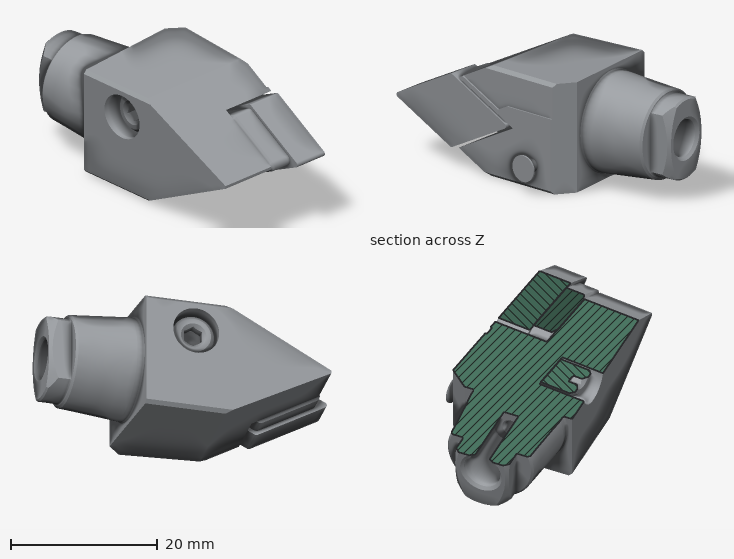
import cadquery as cq
import math

TILT = 6.0
TILT_SIN = math.sin(math.radians(TILT))
TILT_COS = math.cos(math.radians(TILT))
TILT_TAN = math.tan(math.radians(TILT))
FACE_AXIS_Y = 11.18
FACE_DIRECTION = (TILT_COS, -TILT_SIN, 0)
INWARD = (-TILT_SIN, -TILT_COS, 0)
CUT_MARGIN = 1.0

HEAD_HALF = 8.0
HEAD_REACH = 30.0
BEVEL_X = 2.45
BEVEL_Y = 2.82
EDGE_CHAMFER = 0.5
STEP_DEPTH = 0.25
STEP_BEND = 10.3
STEP_CORNER = 11.9
STEP_Z = 2.95

POINT_HALF_ANGLE = 27.5
POINT_START = 13.4
POINT_END = 28.36
POINT_BACK = -10.0
PRISM_LENGTH = 30.0

COLLAR_R = 7.13
COLLAR_LENGTH = 1.0
TAPER_SMALL_R = 6.42
TAPER_START = -9.2
SHANK_FACE = -9.5
SHANK_FACE_R = 6.13
STUD_R = 5.86
STUD_END = -12.5
STUD_FLATS = 8.0
STUD_CHAMFER = 0.25
ROOT_FILLET = 0.2

RELIEF_R = 10.44
RELIEF_OFFSET = 6.8
RELIEF_LENGTH = 5.0

BORE_R = 2.69
BORE_MOUTH_R = 3.1
BORE_DEPTH = 10.0
PILOT_R = 1.05
PILOT_MOUTH_R = 1.3
PILOT_DEPTH = 2.0

INSERT_CENTRE = 20.33
INSERT_CIRCLE_R = 4.7625
INSERT_NOSE_R = 0.4
INSERT_THICKNESS = 4.95
SHIM_CIRCLE_R = 4.25
SHIM_NOSE_R = 0.8
SHIM_THICKNESS = 3.18
SHIM_CHAMFER = 0.4
POCKET_CLEARANCE = 0.38

SOCKET_SCREW_X = 7.14
SOCKET_SCREW_Z = 3.55
SOCKET_HOLE_R = 3.27
SOCKET_SCREW_R = 2.95
SOCKET_SCREW_CHAMFER = 0.53
SOCKET_SCREW_SINK = 1.7
SOCKET_SCREW_LENGTH = 5.0
HEX_SIDES = 6
HEX_FLATS = 2.5
HEX_MOUTH_R = 1.77
HEX_DEPTH = 1.8
HEX_CONE_DEPTH = 0.7

CSK_ALONG = 5.75
CSK_Z = -4.48
CSK_HEAD_R = 1.9
CSK_RIM = 0.25
CSK_SHANK_R = 0.96
CSK_HEAD_LIFT = 0.72
CSK_HOLE_DEPTH = 3.0


def tilted_plane(depth):
    """Plane parallel to the +Y face at a depth into the head, normal pointing inward."""
    origin = (INWARD[0] * depth, FACE_AXIS_Y + INWARD[1] * depth, 0)
    return cq.Plane(origin=origin, xDir=FACE_DIRECTION, normal=INWARD)


def turned(plane, along, across, profile):
    """Solid of revolution about the plane normal, from (radius, depth) points."""
    axis_plane = cq.Plane(
        origin=plane.toWorldCoords((along, across, 0)).toTuple(),
        xDir=plane.xDir,
        normal=-plane.yDir,
    )
    return cq.Workplane(axis_plane).polyline(profile).close().revolve(360, (0, 0, 0), (0, 1, 0))


def turned_on_x(profile):
    """Solid of revolution about the X axis, from (x, radius) points."""
    return cq.Workplane("XY").polyline(profile).close().revolve(360, (0, 0, 0), (1, 0, 0))


def rhombus(depth, thickness, circle_r, corner_r=0):
    """Rhombic plate centred on the insert, sized by its inscribed circle."""
    half_angle = math.radians(POINT_HALF_ANGLE)
    long_half = circle_r / math.sin(half_angle)
    short_half = circle_r / math.cos(half_angle)
    corners = [(long_half, 0), (0, short_half), (-long_half, 0), (0, -short_half)]
    plate = (
        cq.Workplane(tilted_plane(depth))
        .center(INSERT_CENTRE, 0)
        .polyline(corners)
        .close()
        .extrude(thickness)
    )
    if corner_r:
        plate = plate.edges(cq.selectors.ParallelDirSelector(cq.Vector(*INWARD))).fillet(corner_r)
    return plate


def make_head():
    """Square head with a tilted, stepped +Y face, brought to a point at the front."""
    bevel_top = FACE_AXIS_Y - BEVEL_X * TILT_TAN
    outline = [
        (0, -HEAD_HALF),
        (HEAD_REACH, -HEAD_HALF),
        (HEAD_REACH, FACE_AXIS_Y - HEAD_REACH * TILT_TAN),
        (BEVEL_X, bevel_top),
        (0, bevel_top - BEVEL_Y),
    ]
    head = cq.Workplane("XY").polyline(outline).close().extrude(HEAD_HALF, both=True)

    flank_slope = math.tan(math.radians(POINT_HALF_ANGLE))
    corner_z = STEP_Z - (STEP_CORNER - STEP_BEND) * flank_slope
    step_top = 2 * HEAD_HALF
    step = (
        cq.Workplane(tilted_plane(0))
        .moveTo(POINT_BACK, STEP_Z)
        .lineTo(STEP_BEND, STEP_Z)
        .lineTo(STEP_CORNER, corner_z)
        .lineTo(STEP_CORNER + (step_top - corner_z) / flank_slope, step_top)
        .lineTo(POINT_BACK, step_top)
        .close()
        .extrude(STEP_DEPTH)
    )
    head = head.cut(step)

    along_face = cq.selectors.ParallelDirSelector(cq.Vector(*FACE_DIRECTION))
    for side in (">Z", "<Z"):
        head = head.faces(side).edges(along_face).chamfer(EDGE_CHAMFER)
        head = head.faces(side).edges("|X").chamfer(EDGE_CHAMFER)

    nose_half = HEAD_HALF - (POINT_END - POINT_START) * flank_slope
    point = (
        cq.Workplane(tilted_plane(-CUT_MARGIN))
        .moveTo(POINT_BACK, -HEAD_HALF)
        .lineTo(POINT_START, -HEAD_HALF)
        .lineTo(POINT_END, -nose_half)
        .lineTo(POINT_END, nose_half)
        .lineTo(POINT_START, HEAD_HALF)
        .lineTo(POINT_BACK, HEAD_HALF)
        .close()
        .extrude(PRISM_LENGTH)
    )
    return head.intersect(point)


def make_shank():
    """Taper with a collar at the head and a two-flat stud at the free end."""
    taper = turned_on_x([
        (0, 0),
        (0, COLLAR_R + ROOT_FILLET),
        (-ROOT_FILLET, COLLAR_R),
        (-COLLAR_LENGTH, COLLAR_R),
        (TAPER_START, TAPER_SMALL_R),
        (SHANK_FACE, SHANK_FACE_R),
        (SHANK_FACE, 0),
    ])
    stud = turned_on_x([
        (STUD_END, 0),
        (STUD_END, STUD_R - STUD_CHAMFER),
        (STUD_END + STUD_CHAMFER, STUD_R),
        (SHANK_FACE, STUD_R),
        (SHANK_FACE, 0),
    ])
    flats = cq.Workplane("XY").box(4 * STUD_R, STUD_FLATS, 4 * STUD_R)
    stud = stud.intersect(flats.translate((STUD_END, 0, 0)))
    relief = turned_on_x([
        (STUD_END, 0),
        (STUD_END, RELIEF_R),
        (STUD_END + RELIEF_LENGTH, RELIEF_R + RELIEF_LENGTH),
        (STUD_END + RELIEF_LENGTH, 0),
    ])
    for offset in (RELIEF_OFFSET, -RELIEF_OFFSET):
        stud = stud.intersect(relief.translate((0, offset, 0)))
    shank = taper.union(stud)
    stud_root = cq.selectors.BoxSelector(
        (SHANK_FACE - ROOT_FILLET, -STUD_R - ROOT_FILLET, -STUD_R - ROOT_FILLET),
        (SHANK_FACE + ROOT_FILLET, STUD_R + ROOT_FILLET, STUD_R + ROOT_FILLET),
        boundingbox=True,
    )
    return shank.edges(stud_root).fillet(ROOT_FILLET)


def make_bore():
    """Chamfered blind bore with a chamfered, cone-ended pilot hole in its floor."""
    floor = STUD_END + BORE_DEPTH
    pilot_end = floor + PILOT_DEPTH
    return turned_on_x([
        (STUD_END, 0),
        (STUD_END, BORE_MOUTH_R),
        (STUD_END + BORE_MOUTH_R - BORE_R, BORE_R),
        (floor, BORE_R),
        (floor, PILOT_MOUTH_R),
        (floor + PILOT_MOUTH_R - PILOT_R, PILOT_R),
        (pilot_end, PILOT_R),
        (pilot_end + PILOT_R, 0),
    ])


pocket_floor = INSERT_THICKNESS + SHIM_THICKNESS
insert = rhombus(0, INSERT_THICKNESS, INSERT_CIRCLE_R, INSERT_NOSE_R)
shim = rhombus(INSERT_THICKNESS, SHIM_THICKNESS, SHIM_CIRCLE_R, SHIM_NOSE_R)
shim = shim.faces(cq.selectors.DirectionMinMaxSelector(cq.Vector(*INWARD))).chamfer(SHIM_CHAMFER)
pocket = rhombus(-CUT_MARGIN, pocket_floor + CUT_MARGIN, INSERT_CIRCLE_R + POCKET_CLEARANCE)

screw_along = SOCKET_SCREW_X * TILT_COS + (HEAD_HALF + FACE_AXIS_Y) * TILT_SIN
mouth_depth = (HEAD_HALF + FACE_AXIS_Y) * TILT_COS - SOCKET_SCREW_X * TILT_SIN
screw_top = mouth_depth - SOCKET_SCREW_SINK
screw_bottom = screw_top - SOCKET_SCREW_LENGTH
face_plane = tilted_plane(0)
socket_hole = turned(face_plane, screw_along, SOCKET_SCREW_Z, [
    (0, screw_bottom),
    (SOCKET_HOLE_R, screw_bottom),
    (SOCKET_HOLE_R, mouth_depth + CUT_MARGIN),
    (0, mouth_depth + CUT_MARGIN),
])


def make_socket_screw():
    """Cylindrical screw with a chamfered rim and a hexagon socket."""
    screw = turned(face_plane, screw_along, SOCKET_SCREW_Z, [
        (0, screw_bottom),
        (SOCKET_SCREW_R, screw_bottom),
        (SOCKET_SCREW_R, screw_top - SOCKET_SCREW_CHAMFER),
        (SOCKET_SCREW_R - SOCKET_SCREW_CHAMFER, screw_top),
        (0, screw_top),
    ])
    hex_corner_r = HEX_FLATS / 2 / math.cos(math.pi / HEX_SIDES)
    hex_bottom = screw_top - HEX_DEPTH
    socket = (
        cq.Workplane(tilted_plane(hex_bottom))
        .center(screw_along, SOCKET_SCREW_Z)
        .transformed(rotate=(0, 0, 180 / HEX_SIDES))
        .polygon(HEX_SIDES, 2 * hex_corner_r)
        .extrude(HEX_DEPTH)
    )
    mouth = turned(face_plane, screw_along, SOCKET_SCREW_Z, [
        (0, screw_top),
        (HEX_MOUTH_R, screw_top),
        (0, screw_top - HEX_MOUTH_R),
    ])
    drill_point = turned(face_plane, screw_along, SOCKET_SCREW_Z, [
        (0, hex_bottom),
        (HEX_FLATS / 2, hex_bottom),
        (0, hex_bottom - HEX_CONE_DEPTH),
    ])
    return screw.cut(socket).cut(mouth).cut(drill_point)


def make_csk_screw():
    """Countersunk screw standing proud of the +Y face."""
    cone_height = CSK_HEAD_R - CSK_SHANK_R
    return turned(face_plane, CSK_ALONG, CSK_Z, [
        (0, CSK_HOLE_DEPTH),
        (CSK_SHANK_R, CSK_HOLE_DEPTH),
        (CSK_SHANK_R, -CSK_HEAD_LIFT),
        (CSK_HEAD_R, -CSK_HEAD_LIFT - cone_height),
        (CSK_HEAD_R, -CSK_HEAD_LIFT - cone_height - CSK_RIM),
        (0, -CSK_HEAD_LIFT - cone_height - CSK_RIM),
    ])


socket_screw = make_socket_screw()
csk_screw = make_csk_screw()
holder = make_head().union(make_shank()).cut(make_bore())
holder = holder.cut(pocket).cut(socket_hole).cut(csk_screw)

result = cq.Compound.makeCompound([
    holder.val(),
    insert.val(),
    shim.val(),
    socket_screw.val(),
    csk_screw.val(),
])